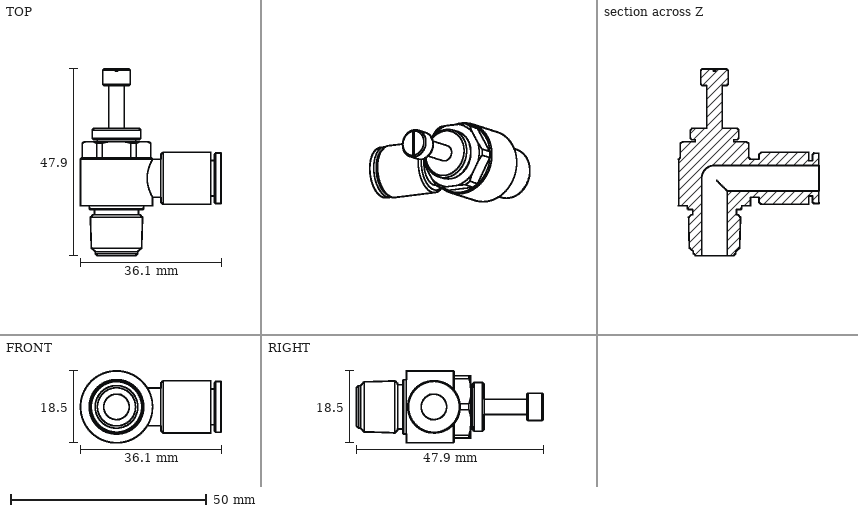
import cadquery as cq
import math


tip_radius = 5.45
tip_chamfer = 0.57
tip_length = 1.1
thread_start = 2.0
thread_end = 9.85
thread_small_radius = 6.45
thread_taper = 1 / 32
thread_large_radius = thread_small_radius + thread_taper * (thread_end - thread_start)
relief_radius = 5.7
thread_chamfer = 0.7
relief_start = thread_end + thread_chamfer
seal_start = 11.85
seal_radius = 7.0
seal_face_radius = 6.75
seal_shoulder_radius = 6.95
seal_shoulder = 12.1
seal_land_start = 12.45

body_start = 12.85
body_end = 25.1
body_radius = 9.25
body_chamfer = 0.35
hex_end = 29.25
hex_across_flats = 16.0
hex_corner_radius = 8.8
hex_crown_radius = 8.2
hex_crown_height = 0.45

collar_neck_radius = 5.0
collar_start = 29.7
collar_end = 32.7
collar_radius = 6.27
collar_chamfer = 0.5
rod_radius = 2.0
head_start = 43.6
head_end = 47.9
head_radius = 3.55
head_chamfer = 0.4
slot_width = 0.45
slot_depth = 0.57

branch_y = 19.9
branch_neck_radius = 4.9
sleeve_start = 11.35
sleeve_end = 24.2
sleeve_radius = 6.7
sleeve_chamfer = 0.57
release_neck_radius = 4.6
release_start = 25.05
release_end = 26.82
release_radius = 6.5
release_chamfer = 0.45
release_mouth_fillet = 0.25

bore_radius = 3.25


def turned(outline):
    """Solid of revolution about the Y axis from (radius, y) points."""
    first_y = outline[0][1]
    last_y = outline[-1][1]
    closed = [(0, first_y)] + outline + [(0, last_y)]
    return cq.Workplane("XY").polyline(closed).close().revolve(360, (0, 0, 0), (0, 1, 0))


def chamfered_disc(radius, start, end, start_chamfer, end_chamfer):
    """Outline of a disc with 45 degree chamfers; a zero chamfer leaves a sharp edge."""
    points = []
    if start_chamfer:
        points.append((radius - start_chamfer, start))
    points.append((radius, start + start_chamfer))
    points.append((radius, end - end_chamfer))
    if end_chamfer:
        points.append((radius - end_chamfer, end))
    return points


def make_stem():
    outline = chamfered_disc(tip_radius, 0, tip_length, tip_chamfer, 0)
    outline += [
        (thread_small_radius, thread_start),
        (thread_large_radius, thread_end),
        (thread_large_radius - thread_chamfer, relief_start),
        (relief_radius, relief_start),
        (relief_radius, seal_start),
        (seal_face_radius, seal_start),
        (seal_shoulder_radius, seal_shoulder),
        (seal_radius, seal_land_start),
        (seal_radius, body_start),
    ]
    outline += chamfered_disc(body_radius, body_start, body_end, 0, body_chamfer)
    outline += [(collar_neck_radius, body_end), (collar_neck_radius, collar_start)]
    outline += chamfered_disc(collar_radius, collar_start, collar_end, collar_chamfer, collar_chamfer)
    outline += [(rod_radius, collar_end), (rod_radius, head_start)]
    outline += chamfered_disc(head_radius, head_start, head_end, head_chamfer, head_chamfer)
    return turned(outline)


def make_hexagon():
    """Hexagon with corners on +X and -X, rounded corners and a conical crown."""
    prism = (
        cq.Workplane("XZ", origin=(0, body_end, 0))
        .polygon(6, hex_across_flats / math.cos(math.pi / 6))
        .extrude(body_end - hex_end)
    )
    envelope = turned([
        (hex_corner_radius, body_end),
        (hex_corner_radius, hex_end - hex_crown_height),
        (hex_crown_radius, hex_end),
    ])
    return prism.intersect(envelope)


def make_branch():
    """Turned along Y, then laid along +X at the branch height."""
    outline = [(branch_neck_radius, 0), (branch_neck_radius, sleeve_start)]
    outline += chamfered_disc(sleeve_radius, sleeve_start, sleeve_end, sleeve_chamfer, 0)
    outline += [(release_neck_radius, sleeve_end), (release_neck_radius, release_start)]
    outline += chamfered_disc(release_radius, release_start, release_end, release_chamfer, 0)
    branch = turned(outline).faces(">Y").edges().fillet(release_mouth_fillet)
    return branch.rotate((0, 0, 0), (0, 0, 1), -90).translate((0, branch_y, 0))


def make_passage():
    """Elbow bore from the threaded tip to the socket mouth, with a spherical corner."""
    inlet = cq.Workplane("XZ").circle(bore_radius).extrude(-branch_y)
    corner = cq.Workplane("XY", origin=(0, branch_y, 0)).sphere(bore_radius)
    outlet = cq.Workplane("YZ", origin=(0, branch_y, 0)).circle(bore_radius).extrude(release_end)
    return inlet.union(corner).union(outlet)


def make_slot():
    """Screwdriver slot across the screw head, running along Z."""
    return cq.Workplane("XY").box(slot_width, 2 * slot_depth, 2 * head_radius).translate((0, head_end, 0))


fitting = make_stem().union(make_hexagon()).union(make_branch())
result = fitting.cut(make_passage()).cut(make_slot())